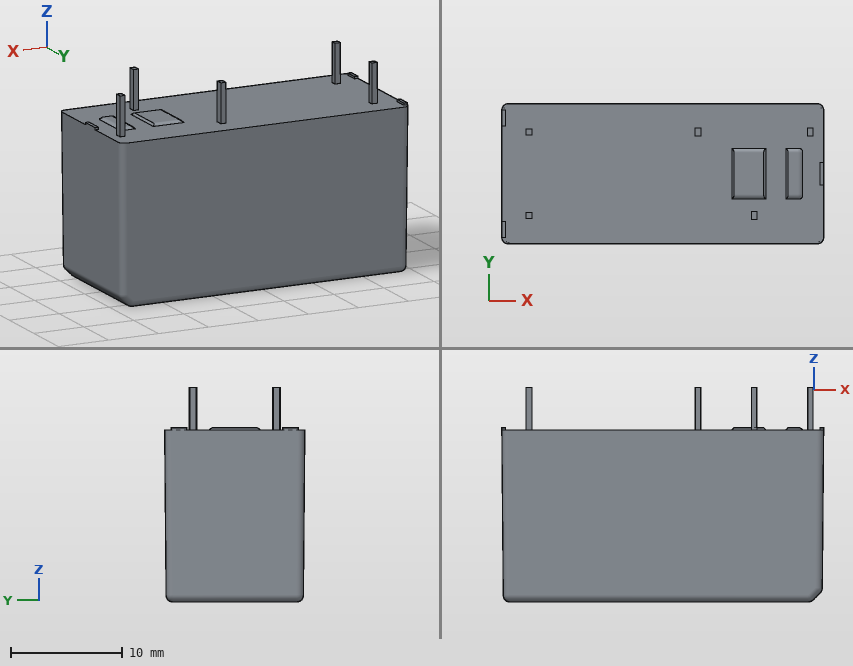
import cadquery as cq

case_length = 28.9
case_width = 12.6
case_height = 15.45
draft_angle = 0.5
edge_radius = 0.6
end_chamfer = 1.0

pin_height = 3.8
pin_row_offset = 3.75
square_pin = (0.55, 0.55)
flat_pin = (0.5, 0.75)
coil_pin_x = -12.0
contact_pitch = 5.04
common_pin_x = 8.2

tab_height = 0.2
tab_depth = 0.35
corner_tab_length = 1.4
middle_tab_length = 2.0

pad_height = 0.2
pad_width = 4.55
pad_bevel_angle = 45
pad_round_radius = 0.5
large_pad_x = (6.2, 9.25)
small_pad_x = (11.05, 12.55)


def make_case():
    """Drafted box with a chamfered lower +X end and rounded edges."""
    case = (
        cq.Workplane("XY")
        .rect(case_length, case_width)
        .extrude(-case_height, taper=draft_angle)
    )
    case = case.faces("<Z").edges(">X").chamfer(end_chamfer)
    return case.edges("not >Z").fillet(edge_radius)


def make_pin(x, y, size):
    """Rectangular pin standing on the terminal face."""
    return cq.Workplane("XY").center(x, y).rect(*size).extrude(pin_height)


def make_tab(end, y, length):
    """Low tab flush with one end of the case; end is -1 or +1."""
    x = end * (case_length - tab_depth) / 2
    return cq.Workplane("XY").center(x, y).rect(tab_depth, length).extrude(tab_height)


def make_pad(x_range, round_far_end):
    """Pad with bevelled sides, its Y ends rounded over and, on request, its +X side and corners too."""
    x_start, x_end = x_range
    pad = (
        cq.Workplane("XY")
        .center((x_start + x_end) / 2, 0)
        .rect(x_end - x_start, pad_width)
        .extrude(pad_height, taper=pad_bevel_angle)
    )
    rounded_edges = pad.faces(">Z").edges("|X")
    if round_far_end:
        rounded_edges = pad.faces(">X").edges("not <Z").add(rounded_edges)
    return rounded_edges.fillet(pad_round_radius)


def make_pins():
    """Two square coil pins and three flat contact pins in two rows."""
    pins = make_pin(common_pin_x, -pin_row_offset, flat_pin)
    for side in (-1, 1):
        pins = pins.add(make_pin(coil_pin_x, side * pin_row_offset, square_pin))
        pins = pins.add(make_pin(common_pin_x + side * contact_pitch, pin_row_offset, flat_pin))
    return pins


def make_tabs():
    """One tab in the middle of the +X end and two beside the rounded corners of the -X end."""
    tabs = make_tab(1, 0, middle_tab_length)
    corner_tab_y = case_width / 2 - edge_radius - corner_tab_length / 2
    for side in (-1, 1):
        tabs = tabs.add(make_tab(-1, side * corner_tab_y, corner_tab_length))
    return tabs


result = make_case()
for feature in (
    make_pins(),
    make_tabs(),
    make_pad(large_pad_x, round_far_end=False),
    make_pad(small_pad_x, round_far_end=True),
):
    for solid in feature.vals():
        result = result.union(cq.Workplane(solid))